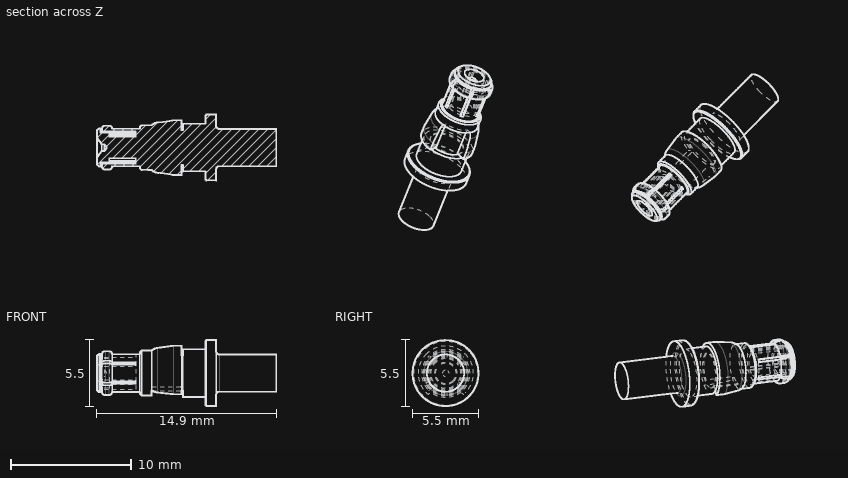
import cadquery as cq
import math

TOTAL_LENGTH = 14.91
FLANGE_DIAMETER = 5.5

LIP_END = 0.31
BEAD_START = 0.42
PLUG_END = 1.05
BEAD_END = 1.28
SLOT_END = 3.22
COLLAR_START = 3.58
COLLAR_END = 4.56
RING_CONE_START = 5.04
RING_CONE_END = 6.34
RING_END = 7.04
BODY_START = 7.14
FLANGE_START = 9.02
FLANGE_END = 9.92

PLUG_RADIUS = 1.24
CORE_RADIUS = 0.92
COLLET_BORE_RADIUS = 1.33
LIP_RADIUS = 1.61
TUBE_RADIUS = 1.58
BEAD_RADIUS = 1.83
COLLAR_RADIUS = 1.88
NECK_RADIUS = 1.46
RING_CONE_RADIUS = 2.1
RING_RADIUS = 2.28
BODY_RADIUS = 2.0
FLANGE_RADIUS = FLANGE_DIAMETER / 2
TAIL_RADIUS = 1.55

LIP_CHAMFER_LENGTH = 0.21
LIP_CHAMFER_DEPTH = 0.18
BEAD_FILLET = 0.28
COLLAR_CHAMFER = 0.15
FLANGE_CHAMFER = 0.09
TAIL_FILLET = 0.27

SLOT_COUNT = 6
SLOT_WIDTH = 0.24
RING_GAP_ANGLE = 79.0
SOCKET_MOUTH_RADIUS = 0.85
SOCKET_BORE_RADIUS = 0.27
SOCKET_CONE_DEPTH = 0.4
SOCKET_BORE_DEPTH = 0.64


def cylinder(start, end, radius):
    """Cylinder about the X axis between two stations."""
    return cq.Workplane("YZ", origin=(start, 0, 0)).circle(radius).extrude(end - start)


def make_lip():
    """Front lip with a long chamfer on its leading edge."""
    lip = cylinder(0, LIP_END, LIP_RADIUS)
    return lip.faces("<X").chamfer(LIP_CHAMFER_LENGTH, LIP_CHAMFER_DEPTH)


def make_collet():
    """Spring tube with a rounded bead at its front, split by radial slots."""
    bead = cylinder(BEAD_START, BEAD_END, BEAD_RADIUS).edges().fillet(BEAD_FILLET)
    tube = cylinder(BEAD_START, COLLAR_START, TUBE_RADIUS)
    collet = bead.union(tube).cut(cylinder(BEAD_START, SLOT_END, COLLET_BORE_RADIUS))
    slot = cq.Workplane("XY", origin=(BEAD_START, 0, 0)).box(
        SLOT_END - BEAD_START, SLOT_WIDTH, BEAD_RADIUS, centered=(False, True, False)
    )
    for index in range(SLOT_COUNT):
        angle = index * 360 / SLOT_COUNT
        collet = collet.cut(slot.rotate((0, 0, 0), (1, 0, 0), angle))
    return collet


def make_core():
    """Insulator behind the lip: a plug, then a thinner stem clear of the collet bore."""
    plug = cylinder(LIP_END, PLUG_END, PLUG_RADIUS)
    return plug.union(cylinder(PLUG_END, SLOT_END, CORE_RADIUS))


def make_collar():
    """Collar with a chamfered front edge."""
    collar = cylinder(COLLAR_START, COLLAR_END, COLLAR_RADIUS)
    return collar.faces("<X").chamfer(COLLAR_CHAMFER)


def make_snap_ring():
    """Barrel-nosed ring on the neck, open over a sector centred on -Z."""
    ring = (
        cq.Workplane("XZ")
        .moveTo(RING_CONE_END, RING_RADIUS)
        .lineTo(RING_CONE_START, RING_CONE_RADIUS)
        .tangentArcPoint((COLLAR_END, COLLAR_RADIUS), relative=False)
        .lineTo(COLLAR_END, 0)
        .lineTo(RING_END, 0)
        .lineTo(RING_END, RING_RADIUS)
        .close()
        .revolve(360, (0, 0, 0), (1, 0, 0))
    )
    reach = 2 * RING_RADIUS
    half_width = reach * math.tan(math.radians(RING_GAP_ANGLE / 2))
    gap = (
        cq.Workplane("YZ", origin=(COLLAR_END, 0, 0))
        .polyline([(0, 0), (-half_width, -reach), (half_width, -reach)])
        .close()
        .extrude(RING_END - COLLAR_END)
    )
    return ring.cut(gap)


def make_body():
    """Plain body, flange and tail with a cove behind the flange."""
    body = cylinder(BODY_START, FLANGE_START, BODY_RADIUS)
    flange = cylinder(FLANGE_START, FLANGE_END, FLANGE_RADIUS)
    flange = flange.faces("<X").chamfer(FLANGE_CHAMFER)
    tail = cylinder(FLANGE_END, TOTAL_LENGTH, TAIL_RADIUS)
    cove_end = FLANGE_END + TAIL_FILLET
    cove_radius = TAIL_RADIUS + TAIL_FILLET
    cove = (
        cq.Workplane("XZ")
        .moveTo(FLANGE_END, 0)
        .lineTo(FLANGE_END, cove_radius)
        .radiusArc((cove_end, TAIL_RADIUS), -TAIL_FILLET)
        .lineTo(cove_end, 0)
        .close()
        .revolve(360, (0, 0, 0), (1, 0, 0))
    )
    return body.union(flange).union(tail).union(cove)


def make_socket():
    """Conical lead-in, a short bore and a drill-point bottom of the same slope."""
    cone_slope = SOCKET_CONE_DEPTH / (SOCKET_MOUTH_RADIUS - SOCKET_BORE_RADIUS)
    tip = SOCKET_BORE_DEPTH + SOCKET_BORE_RADIUS * cone_slope
    return (
        cq.Workplane("XZ")
        .polyline([
            (0, 0),
            (0, SOCKET_MOUTH_RADIUS),
            (SOCKET_CONE_DEPTH, SOCKET_BORE_RADIUS),
            (SOCKET_BORE_DEPTH, SOCKET_BORE_RADIUS),
            (tip, 0),
        ])
        .close()
        .revolve(360, (0, 0, 0), (1, 0, 0))
    )


result = (
    make_collet()
    .union(make_core())
    .union(make_lip())
    .union(make_collar())
    .union(cylinder(COLLAR_END, BODY_START, NECK_RADIUS))
    .union(make_snap_ring())
    .union(make_body())
    .cut(make_socket())
)